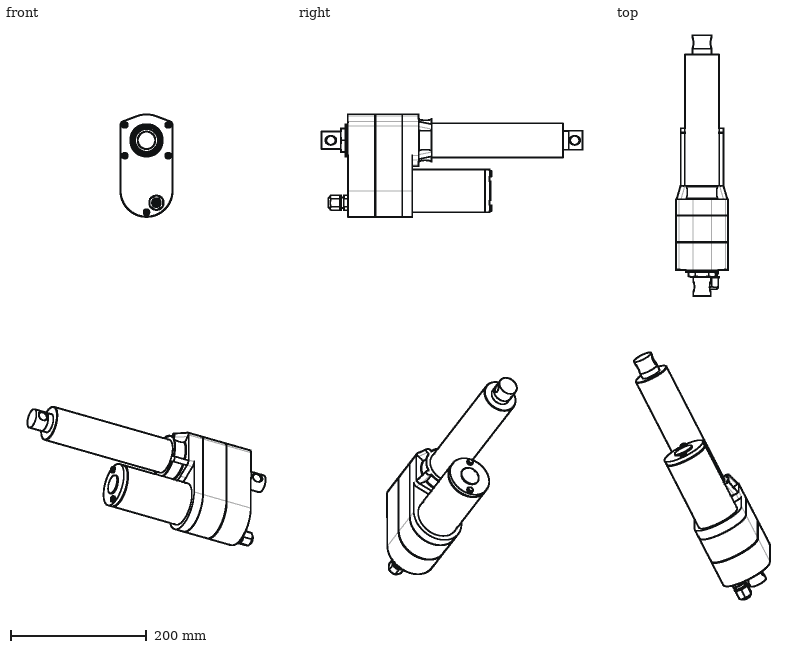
import cadquery as cq
import math


case_width = 77.3
case_height = 151.5
case_top_radius = 38.5
case_slope = math.radians(20.5)
case_corner_radius = 7.0
motor_axis_z = case_top_radius - case_height + case_width / 2
case_depth = 95.5
case_upper_depth = 104.5
cover_chamfer = 0.8
joint_groove_depth = 0.5
gasket_y = 40.5
gasket_width = 1.0
seam_y = 80.5
seam_width = 0.5

screw_x = 32.0
screw_z = 22.5
low_screw_z = -105.7
screw_recess_diameter = 9.0
screw_head_diameter = 7.3
screw_socket_diameter = 2.5
screw_recess_depth = 1.0

neck_diameter = 63.0
neck_shoulder_diameter = 61.5
neck_waist_diameter = 59.2
neck_end_y = 124.2
neck_rim_width = 1.0
rib_width = 7.5
rib_reach = 41.0
rib_lean = 7.0
tube_diameter = 50.8
tube_end_y = 317.5
tube_chamfer = 0.8

motor_diameter = 63.5
motor_end_y = 209.0
motor_groove_diameter = 62.5
motor_groove_y = 202.0
motor_groove_width = 1.0
motor_boss_diameter = 28.0
motor_boss_height = 2.0
motor_screw_diameter = 9.0
motor_screw_height = 3.5
motor_screw_offset = 25.5
motor_screw_chamfer = 1.0

collar_diameter = 48.0
collar_height = 3.5
tooth_count = 90
tooth_height = 2.0
tooth_inner_radius = 15.5
tooth_gap = 0.8
nut_across_flats = 35.0
nut_end_y = -10.5
nut_face_diameter = 33.5
nut_chamfer_height = 1.5
rear_pin_diameter = 26.0
rear_pin_end_y = -38.5
rear_hole_y = -24.5
pin_chamfer = 0.5

gland_x = 14.5
gland_z = -92.0
gland_corner_diameter = 22.3
gland_base_height = 5.5
gland_neck_diameter = 15.8
gland_flange_diameter = 21.5
gland_flange_start = 9.5
gland_flange_thickness = 1.5
gland_cone_start = 24.2
gland_height = 28.5
gland_tip_diameter = 13.0
cable_gap_diameter = 8.5
cable_diameter = 7.3
cable_gap_depth = 4.0
wire_diameter = 2.5
wire_core_diameter = 1.6
wire_offset = 1.5
wire_recess_depth = 0.8

rod_diameter = 28.0
rod_tip_diameter = 28.5
rod_tip_start_y = 326.0
rod_end_y = 346.0
rod_hole_y = 334.5
cross_hole_diameter = 13.0


def xz_plane(y):
    """Plane across the rod axis at y, with local axes X and Z; extrusion goes toward -Y."""
    return cq.Workplane("XZ", origin=(0, y, 0))


def cylinder(diameter, y_start, y_end, x=0, z=0):
    return xz_plane(y_end).center(x, z).circle(diameter / 2).extrude(y_end - y_start)


def ring(outer_diameter, inner_diameter, y_start, y_end, x=0, z=0):
    outer = cylinder(outer_diameter, y_start, y_end, x, z)
    return outer.cut(cylinder(inner_diameter, y_start, y_end, x, z))


def hexagon(corner_diameter, y_start, y_end, turn=0):
    prism = xz_plane(y_end).polygon(6, corner_diameter).extrude(y_end - y_start)
    return prism.rotate((0, 0, 0), (0, 1, 0), turn)


def roof_points(inset=0):
    """Ends of the top arc, sloped side and rounded corner on the +X side."""
    half_width = case_width / 2 - inset
    top_radius = case_top_radius - inset
    corner_radius = case_corner_radius - inset
    slope_sin = math.sin(case_slope)
    slope_cos = math.cos(case_slope)
    corner_x = half_width - corner_radius
    corner_z = (top_radius - corner_radius - corner_x * slope_sin) / slope_cos
    middle_angle = (math.pi / 2 - case_slope) / 2
    arc_end = (top_radius * slope_sin, top_radius * slope_cos)
    slope_end = (corner_x + corner_radius * slope_sin, corner_z + corner_radius * slope_cos)
    corner_middle = (
        corner_x + corner_radius * math.cos(middle_angle),
        corner_z + corner_radius * math.sin(middle_angle),
    )
    side_start = (half_width, corner_z)
    return (0, top_radius), arc_end, slope_end, corner_middle, side_start


def mirror_x(point):
    return (-point[0], point[1])


def mirror_z(point):
    return (point[0], -point[1])


def draw_roof(sketch, inset=0):
    """Draw the roof from the -X side wall over the top to the +X side wall."""
    top, arc_end, slope_end, corner_middle, side_start = roof_points(inset)
    return (
        sketch.moveTo(*mirror_x(side_start))
        .threePointArc(mirror_x(corner_middle), mirror_x(slope_end))
        .lineTo(*mirror_x(arc_end))
        .threePointArc(top, arc_end)
        .lineTo(*slope_end)
        .threePointArc(corner_middle, side_start)
    )


def case_section(y_start, y_end, inset=0):
    """Full case outline: roof on top, half circle round the motor axis below."""
    half_width = case_width / 2 - inset
    return (
        draw_roof(xz_plane(y_end), inset)
        .lineTo(half_width, motor_axis_z)
        .threePointArc((0, motor_axis_z - half_width), (-half_width, motor_axis_z))
        .close()
        .extrude(y_end - y_start)
    )


def upper_case_step():
    """Raised step round the rod axis, with the roof repeated upside down below."""
    lower_points = [mirror_z(point) for point in roof_points()]
    bottom, arc_end, slope_end, corner_middle, side_start = lower_points
    return (
        draw_roof(xz_plane(case_upper_depth))
        .lineTo(*side_start)
        .threePointArc(corner_middle, slope_end)
        .lineTo(*arc_end)
        .threePointArc(bottom, mirror_x(arc_end))
        .lineTo(*mirror_x(slope_end))
        .threePointArc(mirror_x(corner_middle), mirror_x(side_start))
        .close()
        .extrude(case_upper_depth)
    )


def joint_groove(y_start, width):
    """Shallow groove all round the case where two of its parts meet."""
    outer = case_section(y_start, y_start + width)
    return outer.cut(case_section(y_start, y_start + width, joint_groove_depth))


def gear_case():
    case = case_section(0, case_depth).faces("<Y").chamfer(cover_chamfer)
    case = case.union(upper_case_step())
    return case.cut(joint_groove(gasket_y, gasket_width)).cut(joint_groove(seam_y, seam_width))


def cover_screw_recess(x, z):
    """Ring-shaped gap round a flush screw head, and the socket in the head."""
    gap = ring(screw_recess_diameter, screw_head_diameter, 0, screw_recess_depth, x, z)
    return gap.union(cylinder(screw_socket_diameter, 0, screw_recess_depth, x, z))


def neck():
    """Hollow-waisted neck between two narrow rims."""
    radius = neck_diameter / 2
    shoulder_radius = neck_shoulder_diameter / 2
    waist_radius = neck_waist_diameter / 2
    middle_y = (case_upper_depth + neck_end_y) / 2
    return (
        cq.Workplane("XY")
        .moveTo(0, case_upper_depth)
        .lineTo(radius, case_upper_depth)
        .lineTo(radius, case_upper_depth + neck_rim_width)
        .lineTo(shoulder_radius, case_upper_depth + neck_rim_width)
        .threePointArc((waist_radius, middle_y), (shoulder_radius, neck_end_y - neck_rim_width))
        .lineTo(radius, neck_end_y - neck_rim_width)
        .lineTo(radius, neck_end_y)
        .lineTo(0, neck_end_y)
        .close()
        .revolve(360, (0, 0, 0), (0, 1, 0))
    )


def neck_rib(side_x, side_z):
    """Radial rib with a round outer end that leans in toward the tube."""
    half_width = rib_width / 2
    tip_reach = rib_reach - rib_lean
    height = neck_end_y - case_upper_depth
    rib = (
        xz_plane(neck_end_y)
        .moveTo(0, -half_width)
        .lineTo(tip_reach, -half_width)
        .threePointArc((tip_reach + half_width, 0), (tip_reach, half_width))
        .lineTo(0, half_width)
        .close()
        .workplane(offset=height)
        .moveTo(0, -half_width)
        .lineTo(rib_reach, -half_width)
        .threePointArc((rib_reach + half_width, 0), (rib_reach, half_width))
        .lineTo(0, half_width)
        .close()
        .loft(ruled=True)
    )
    direction = math.degrees(math.atan2(side_z * screw_z, side_x * screw_x))
    return rib.rotate((0, 0, 0), (0, 1, 0), -direction)


def guide_tube():
    tube = cylinder(tube_diameter, case_upper_depth, tube_end_y)
    return tube.faces(">Y").chamfer(tube_chamfer)


def motor():
    """Motor can with a narrow groove, an end boss and two screw heads."""
    can = cylinder(motor_diameter, case_depth, motor_end_y, 0, motor_axis_z)
    groove_end = motor_groove_y + motor_groove_width
    groove = ring(motor_diameter, motor_groove_diameter, motor_groove_y, groove_end, 0, motor_axis_z)
    boss_end = motor_end_y + motor_boss_height
    body = can.cut(groove).union(cylinder(motor_boss_diameter, motor_end_y, boss_end, 0, motor_axis_z))
    for side in (-1, 1):
        head_z = motor_axis_z + side * motor_screw_offset
        head = cylinder(motor_screw_diameter, motor_end_y, motor_end_y + motor_screw_height, 0, head_z)
        body = body.union(head.faces(">Y").chamfer(motor_screw_chamfer))
    return body


def toothed_collar():
    """Round collar with radial teeth on its -Y face."""
    collar = cylinder(collar_diameter, -collar_height, 0)
    tooth_length = collar_diameter / 2 - tooth_inner_radius + tooth_gap
    gaps = (
        xz_plane(tooth_height - collar_height)
        .polarArray(tooth_inner_radius + tooth_length / 2, 0, 360, tooth_count)
        .rect(tooth_length, tooth_gap)
        .extrude(tooth_height)
    )
    return collar.cut(gaps)


def mount_nut():
    """Hexagonal nut with its outer corners bevelled by a cone."""
    corner_diameter = nut_across_flats / math.cos(math.pi / 6)
    nut = hexagon(corner_diameter, nut_end_y, -tooth_height)
    face_radius = nut_face_diameter / 2
    corner_radius = corner_diameter / 2
    envelope = (
        cq.Workplane("XY")
        .polyline([
            (0, nut_end_y),
            (face_radius, nut_end_y),
            (corner_radius, nut_end_y + nut_chamfer_height),
            (corner_radius, 0),
            (0, 0),
        ])
        .close()
        .revolve(360, (0, 0, 0), (0, 1, 0))
    )
    return nut.intersect(envelope)


def cross_hole(pin_diameter, y):
    """Hole along X through a round pin, with 45 degree flared mouths."""
    hole_radius = cross_hole_diameter / 2
    pin_radius = pin_diameter / 2
    flare_x = math.sqrt(pin_radius**2 - hole_radius**2)
    mouth_radius = hole_radius + pin_radius - flare_x
    return (
        cq.Workplane("XY", origin=(0, y, 0))
        .polyline([
            (-pin_radius, 0),
            (-pin_radius, mouth_radius),
            (-flare_x, hole_radius),
            (flare_x, hole_radius),
            (pin_radius, mouth_radius),
            (pin_radius, 0),
        ])
        .close()
        .revolve(360, (0, 0, 0), (1, 0, 0))
    )


def rear_pin():
    pin = cylinder(rear_pin_diameter, rear_pin_end_y, 0).faces("<Y").chamfer(pin_chamfer)
    return pin.cut(cross_hole(rear_pin_diameter, rear_hole_y))


def cable_recess():
    """Gap round the cable in the gland tip, and a gap round each of two wire cores."""
    recess = ring(cable_gap_diameter, cable_diameter, -gland_height, cable_gap_depth - gland_height)
    wire_end = wire_recess_depth - gland_height
    for side in (-1, 1):
        wire_z = side * wire_offset
        recess = recess.union(ring(wire_diameter, wire_core_diameter, -gland_height, wire_end, 0, wire_z))
    return recess


def cable_gland():
    """Hexagonal base, round stem, and a flanged nut with a tapered tip."""
    corner_radius = gland_corner_diameter / 2
    base = hexagon(gland_corner_diameter, -gland_base_height, 0, turn=90)
    stem = cylinder(gland_neck_diameter, -gland_flange_start, 0)
    nut_start = gland_flange_start + gland_flange_thickness
    flange = cylinder(gland_flange_diameter, -nut_start, -gland_flange_start)
    nut = hexagon(gland_corner_diameter, -gland_height, -nut_start, turn=90)
    cone = (
        cq.Workplane("XY")
        .polyline([
            (0, 0),
            (corner_radius, 0),
            (corner_radius, -gland_cone_start),
            (gland_tip_diameter / 2, -gland_height),
            (0, -gland_height),
        ])
        .close()
        .revolve(360, (0, 0, 0), (0, 1, 0))
    )
    gland = base.union(stem).union(flange).union(nut.intersect(cone)).cut(cable_recess())
    return gland.translate((gland_x, 0, gland_z))


def actuator_body():
    body = gear_case().union(neck()).union(guide_tube()).union(motor())
    for side_x in (-1, 1):
        for side_z in (-1, 1):
            body = body.union(neck_rib(side_x, side_z))
            body = body.cut(cover_screw_recess(side_x * screw_x, side_z * screw_z))
    body = body.cut(cover_screw_recess(0, low_screw_z))
    body = body.union(toothed_collar()).union(mount_nut()).union(rear_pin()).union(cable_gland())
    rod_bore = cylinder(rod_diameter, case_upper_depth, tube_end_y)
    return body.cut(rod_bore)


def extension_rod():
    shaft = cylinder(rod_diameter, case_upper_depth, rod_tip_start_y)
    tip = cylinder(rod_tip_diameter, rod_tip_start_y, rod_end_y)
    return shaft.union(tip.cut(cross_hole(rod_tip_diameter, rod_hole_y)))


housing = actuator_body()
rod = extension_rod()
result = cq.Compound.makeCompound([housing.val(), rod.val()])